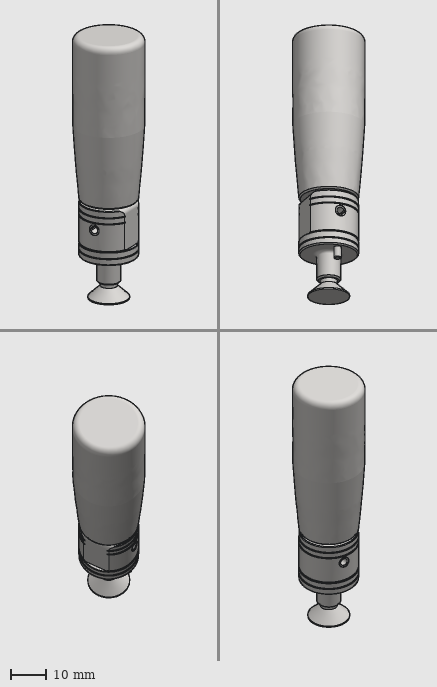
import cadquery as cq
import math

total_height = 80.1

foot_diameter = 12.0
foot_rim_height = 0.4
foot_neck_diameter = 5.0
foot_cone_top = 3.7

shank_diameter = 7.0
shank_bottom = 4.9
shank_chamfer = 0.5
shank_root_radius = 1.0

collar_diameter = 17.15
collar_bottom = 12.9
collar_top = 29.55
collar_bottom_chamfer = 0.4
collar_top_chamfer = 0.25
base_edge_chamfer = 0.2
base_top = 17.0
body_flat_x = 7.5
body_flat_top_radius = 1.6
groove_width = 0.25
groove_depth = 0.25
groove_heights = [14.8, base_top, 25.5, 27.3]

cross_hole_diameter = 3.2
cross_hole_height = 23.4
spring_pin_bore = 2.2
spring_pin_slot = 0.6
spring_pin_recess = 0.25

locating_pin_diameter = 2.2
locating_pin_y = 6.25
locating_pin_bottom = 9.5
locating_pin_chamfer = 0.25

grip_neck_diameter = 10.0
grip_bottom = 30.0
grip_chamfer = 0.5
grip_lower_diameter = 17.15
grip_waist_diameter = 20.6
grip_waist_height = 52.7
grip_diameter = 20.8
grip_top_radius = 2.0
lower_bulge = 0.12
upper_bulge = 0.025


def turned(outline):
    """Revolve a closed (radius, height) outline about the Z axis."""
    return outline.close().revolve(360, (0, 0, 0), (0, 1, 0))


def cylinder(diameter, bottom, top):
    return cq.Workplane("XY").workplane(offset=bottom).circle(diameter / 2).extrude(top - bottom)


def cross_cylinder(diameter, length):
    """Cylinder along Y, centred on the collar at the cross hole height."""
    centre = cq.Workplane("XZ").center(0, cross_hole_height)
    return centre.circle(diameter / 2).extrude(length / 2, both=True)


def make_foot_and_shank():
    foot_radius = foot_diameter / 2
    neck_radius = foot_neck_diameter / 2
    shank_radius = shank_diameter / 2
    root_bottom = collar_bottom - shank_root_radius
    root_centre_radius = shank_radius + shank_root_radius
    diagonal = shank_root_radius * math.cos(math.radians(45))
    outline = (
        cq.Workplane("XZ")
        .moveTo(0, 0)
        .lineTo(foot_radius, 0)
        .lineTo(foot_radius, foot_rim_height)
        .lineTo(neck_radius, foot_cone_top)
        .lineTo(neck_radius, shank_bottom)
        .lineTo(shank_radius - shank_chamfer, shank_bottom)
        .lineTo(shank_radius, shank_bottom + shank_chamfer)
        .lineTo(shank_radius, root_bottom)
        .threePointArc(
            (root_centre_radius - diagonal, root_bottom + diagonal),
            (root_centre_radius, collar_bottom),
        )
        .lineTo(0, collar_bottom)
    )
    return turned(outline)


def make_groove(height):
    outer = cylinder(2 * collar_diameter, height, height + groove_width)
    core = cylinder(collar_diameter - 2 * groove_depth, height, height + groove_width)
    return outer.cut(core)


def make_flat_cutter():
    """Body-height disc minus the kept block, so cutting it leaves the flat +X side."""
    keep_length = collar_diameter
    kept = (
        cq.Workplane("XY")
        .box(keep_length, 2 * collar_diameter, collar_top - base_top, centered=(False, True, False))
        .translate((body_flat_x - keep_length, 0, base_top))
        .edges(">X and >Z")
        .fillet(body_flat_top_radius)
    )
    return cylinder(2 * collar_diameter, base_top, collar_top).cut(kept)


def make_collar():
    base = cylinder(collar_diameter, collar_bottom, base_top)
    base = base.faces("<Z").chamfer(collar_bottom_chamfer)
    base = base.faces(">Z").chamfer(base_edge_chamfer)
    body = cylinder(collar_diameter, base_top, collar_top).faces(">Z").chamfer(collar_top_chamfer)
    collar = base.union(body.cut(make_flat_cutter()))
    for height in groove_heights:
        collar = collar.cut(make_groove(height))
    return collar


def add_spring_pin(collar):
    """Sink the ends of the cross hole, then bore the pin and cut its slot on the -X side."""
    pin_length = collar_diameter - 2 * spring_pin_recess
    hole = cross_cylinder(cross_hole_diameter, collar_diameter)
    sunk_ends = hole.cut(cross_cylinder(cross_hole_diameter, pin_length))
    bore = cross_cylinder(spring_pin_bore, collar_diameter)
    slot = cq.Workplane("XY").box(
        cross_hole_diameter / 2, pin_length, spring_pin_slot, centered=(False, True, True)
    ).translate((-cross_hole_diameter / 2, 0, cross_hole_height))
    return collar.cut(sunk_ends).cut(bore).cut(slot)


def make_locating_pin():
    pin = cylinder(locating_pin_diameter, locating_pin_bottom, collar_bottom)
    return pin.faces("<Z").chamfer(locating_pin_chamfer).translate((0, locating_pin_y, 0))


def make_grip():
    lower_radius = grip_lower_diameter / 2
    waist_radius = grip_waist_diameter / 2
    grip_radius = grip_diameter / 2
    lower_start = grip_bottom + grip_chamfer
    shoulder = total_height - grip_top_radius
    round_centre_radius = grip_radius - grip_top_radius
    diagonal = grip_top_radius * math.cos(math.radians(45))
    lower_middle = ((lower_radius + waist_radius) / 2 + lower_bulge, (lower_start + grip_waist_height) / 2)
    upper_middle = ((waist_radius + grip_radius) / 2 + upper_bulge, (grip_waist_height + shoulder) / 2)
    outline = (
        cq.Workplane("XZ")
        .moveTo(0, grip_bottom)
        .lineTo(lower_radius - grip_chamfer, grip_bottom)
        .lineTo(lower_radius, lower_start)
        .threePointArc(lower_middle, (waist_radius, grip_waist_height))
        .threePointArc(upper_middle, (grip_radius, shoulder))
        .threePointArc(
            (round_centre_radius + diagonal, shoulder + diagonal),
            (round_centre_radius, total_height),
        )
        .lineTo(0, total_height)
    )
    return turned(outline)


result = (
    add_spring_pin(make_collar())
    .union(make_foot_and_shank())
    .union(make_locating_pin())
    .union(cylinder(grip_neck_diameter, collar_top, grip_bottom))
    .union(make_grip())
)